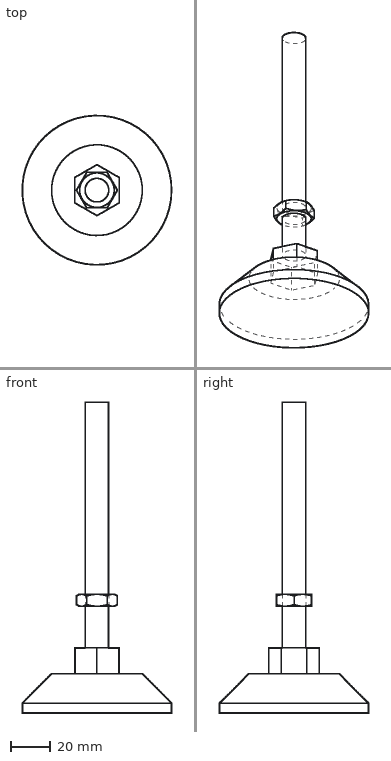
import cadquery as cq
import math

foot_diameter = 76.0
foot_top_diameter = 46.1
rim_height = 5.0
foot_height = 20.0

total_height = 158.0
rod_diameter = 12.0
base_across_flats = 22.5
base_height = 13.1

nut_across_flats = 18.0
nut_thickness = 6.3
nut_bottom = 54.2
nut_face_diameter = 17.5
nut_chamfer_angle = 30.0


def across_corners(across_flats):
    return across_flats / math.cos(math.radians(30))


def make_foot():
    profile = [
        (0, 0),
        (foot_diameter / 2, 0),
        (foot_diameter / 2, rim_height),
        (foot_top_diameter / 2, foot_height),
        (0, foot_height),
    ]
    return cq.Workplane("XZ").polyline(profile).close().revolve(360, (0, 0), (0, 1))


def make_stud():
    base = (
        cq.Workplane("XY")
        .polygon(6, across_corners(base_across_flats))
        .extrude(base_height)
        .rotate((0, 0, 0), (0, 0, 1), 30)
    )
    rod = cq.Workplane("XY").circle(rod_diameter / 2).extrude(total_height - foot_height)
    return base.union(rod).translate((0, 0, foot_height))


def make_nut():
    corner_radius = across_corners(nut_across_flats) / 2
    face_radius = nut_face_diameter / 2
    chamfer_drop = (corner_radius - face_radius) * math.tan(math.radians(nut_chamfer_angle))

    blank = cq.Workplane("XY").polygon(6, 2 * corner_radius).extrude(nut_thickness)
    envelope_profile = [
        (0, 0),
        (face_radius, 0),
        (corner_radius, chamfer_drop),
        (corner_radius, nut_thickness - chamfer_drop),
        (face_radius, nut_thickness),
        (0, nut_thickness),
    ]
    envelope = cq.Workplane("XZ").polyline(envelope_profile).close().revolve(360, (0, 0), (0, 1))
    bore = cq.Workplane("XY").circle(rod_diameter / 2).extrude(nut_thickness)
    return blank.intersect(envelope).cut(bore).translate((0, 0, nut_bottom))


foot = make_foot()
stud = make_stud()
nut = make_nut()

result = cq.Compound.makeCompound([foot.val(), stud.val(), nut.val()])